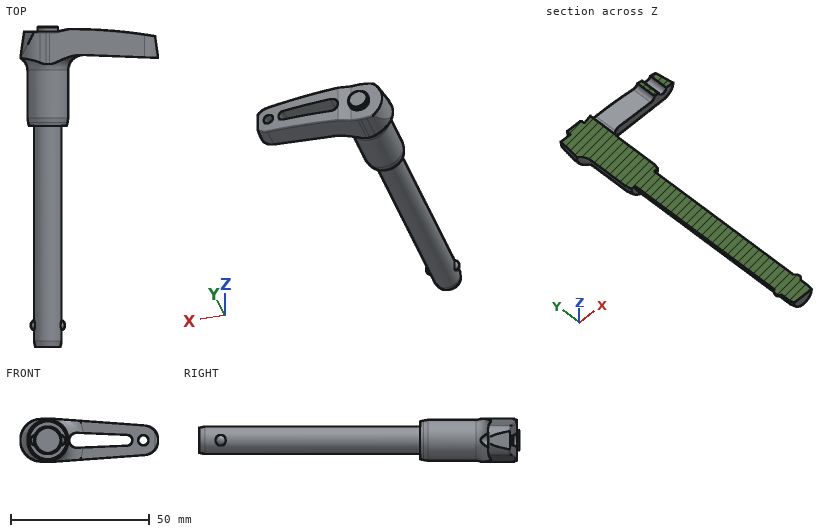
import cadquery as cq
import math


shank_radius = 5.0
shank_length = 79.6
shank_tip_radius = 4.55
shank_tip_length = 2.1
ball_radius = 2.0
ball_reach = 6.2
ball_from_tip = 7.8

collar_radius = 7.4
collar_top_y = 20.1
collar_taper_y = 2.9
collar_rim_y = 1.2
collar_rim_radius = 7.15
collar_end_radius = 6.8
flare_spread = 6.2
flare_height = 5.45

button_radius = 3.75
button_top_y = 35.8
button_chamfer = 0.4

heel_center_x = -2.2
heel_radius = 7.75
hub_radius = 7.91
tip_center_x = 34.4
tip_radius = 5.4

handle_start_x = -12.0
head_top_y = 33.95
rise_start_x = 3.0
hump_start_x = 7.6
hump_mid_x = 15.8
hump_y = 34.95
hump_mid_y = 34.8
lever_end_x = 39.76
tip_top_y = 32.35
underside_tip_y = 24.5
underside_bend_x = 38.65
underside_slope = 0.0394
end_draft = 8.0
top_edge_radius = 0.4
top_edges_y = 31.0
top_edges_end_x = 38.5

heel_cone_center_x = 0.4
heel_cone_top_radius = 9.0

slot_inner_x = 10.35
slot_inner_radius = 2.65
slot_outer_x = 28.5
slot_outer_radius = 1.9
eye_radius = 1.8

cut_margin = 5.0


def tangent_outline(circles):
    """Closed outline around circles (center x, radius), ordered along the X axis.

    The sketch lies in the XZ plane, so extruding by a negative distance goes toward +Y.
    """
    upper = []
    for (x1, r1), (x2, r2) in zip(circles, circles[1:]):
        sine = (r1 - r2) / (x2 - x1)
        cosine = math.sqrt(1 - sine**2)
        upper.append([(x1 + r1 * sine, r1 * cosine), (x2 + r2 * sine, r2 * cosine)])

    first_x, first_r = circles[0]
    last_x, last_r = circles[-1]
    outline = cq.Workplane("XZ").moveTo(*upper[0][0]).lineTo(*upper[0][1])
    for (x, r), (start, end) in zip(circles[1:], upper[1:]):
        outline = outline.threePointArc((x, r), start).lineTo(*end)

    lower = [[(x, -z) for x, z in reversed(line)] for line in reversed(upper)]
    outline = outline.threePointArc((last_x + last_r, 0), lower[0][0]).lineTo(*lower[0][1])
    for (x, r), (start, end) in zip(circles[-2:0:-1], lower[1:]):
        outline = outline.threePointArc((x, -r), start).lineTo(*end)
    return outline.threePointArc((first_x - first_r, 0), upper[0][0]).close()


def revolve_about_pin(profile):
    return profile.close().revolve(360, (0, 0, 0), (0, 1, 0))


def underside_y(x):
    return underside_tip_y + underside_slope * (underside_bend_x - x)


def make_handle():
    column = tangent_outline(
        [(heel_center_x, heel_radius), (0, hub_radius), (tip_center_x, tip_radius)]
    ).extrude(-(hump_y + cut_margin))

    draft = math.tan(math.radians(end_draft))
    tip_top_x = lever_end_x - draft * (tip_top_y - underside_tip_y)
    lever = (
        cq.Workplane("XY")
        .moveTo(handle_start_x, underside_y(handle_start_x))
        .lineTo(underside_bend_x, underside_tip_y)
        .lineTo(lever_end_x, underside_tip_y)
        .lineTo(tip_top_x, tip_top_y)
        .threePointArc((hump_mid_x, hump_mid_y), (hump_start_x, hump_y))
        .lineTo(rise_start_x, head_top_y)
        .lineTo(handle_start_x, head_top_y)
        .close()
        .extrude(2 * hub_radius, both=True)
    )
    flare_outer_radius = collar_radius + flare_spread
    flare = revolve_about_pin(
        cq.Workplane("XY")
        .moveTo(0, collar_top_y)
        .lineTo(collar_radius, collar_top_y)
        .ellipseArc(flare_spread, flare_height, 90, 180, sense=-1)
        .lineTo(flare_outer_radius, underside_y(-flare_outer_radius))
        .lineTo(0, underside_y(-flare_outer_radius))
    )
    body = lever.union(flare).intersect(column)
    low_corner = (handle_start_x, top_edges_y, -2 * hub_radius)
    high_corner = (top_edges_end_x, hump_y + cut_margin, 2 * hub_radius)
    top_edges = body.edges(cq.selectors.BoxSelector(low_corner, high_corner))
    body = body.newObject(top_edges.edges("not |Z").vals()).fillet(top_edge_radius)
    return body.cut(make_heel_trim(draft))


def make_heel_trim(draft):
    cone_height = head_top_y - collar_top_y
    cone = (
        cq.Workplane("XZ", origin=(heel_cone_center_x, head_top_y, 0))
        .circle(heel_cone_top_radius)
        .workplane(offset=cone_height)
        .circle(heel_cone_top_radius + cone_height * draft)
        .loft()
    )
    block = (
        cq.Workplane("XY")
        .box(-handle_start_x, cone_height, 4 * hub_radius, centered=(False, False, True))
        .translate((handle_start_x, collar_top_y, 0))
    )
    return block.cut(cone)


def make_openings():
    through = -(hump_y + cut_margin)
    slot = tangent_outline(
        [(slot_inner_x, slot_inner_radius), (slot_outer_x, slot_outer_radius)]
    ).extrude(through)
    eye = cq.Workplane("XZ").center(tip_center_x, 0).circle(eye_radius).extrude(through)
    return slot.union(eye)


def make_collar():
    return revolve_about_pin(
        cq.Workplane("XY")
        .lineTo(collar_end_radius, 0)
        .lineTo(collar_rim_radius, collar_rim_y)
        .lineTo(collar_radius, collar_taper_y)
        .lineTo(collar_radius, collar_top_y)
        .lineTo(0, collar_top_y)
    )


def make_button():
    return revolve_about_pin(
        cq.Workplane("XY")
        .moveTo(0, collar_top_y)
        .lineTo(button_radius, collar_top_y)
        .lineTo(button_radius, button_top_y - button_chamfer)
        .lineTo(button_radius - button_chamfer, button_top_y)
        .lineTo(0, button_top_y)
    )


def make_shank():
    shank = revolve_about_pin(
        cq.Workplane("XY")
        .moveTo(0, collar_rim_y)
        .lineTo(shank_radius, collar_rim_y)
        .lineTo(shank_radius, shank_tip_length - shank_length)
        .lineTo(shank_tip_radius, -shank_length)
        .lineTo(0, -shank_length)
    )
    for side in (-1, 1):
        center = (side * (ball_reach - ball_radius), ball_from_tip - shank_length, 0)
        shank = shank.union(cq.Workplane("XY").sphere(ball_radius).translate(center))
    return shank


handle = make_handle().cut(make_openings())
result = handle.union(make_collar()).union(make_button()).union(make_shank())